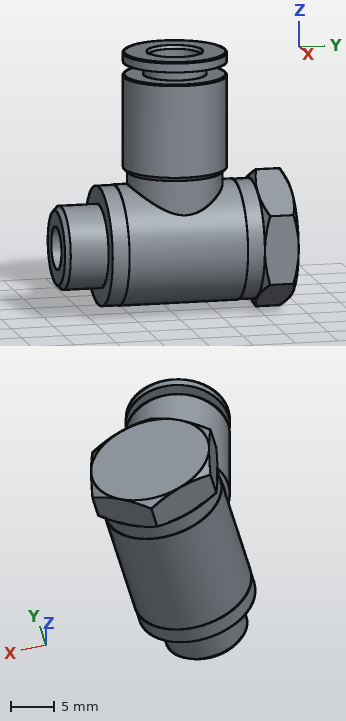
import cadquery as cq
import math

hex_flats = 14.0
hex_length = 4.0
hex_chamfer_angle = math.radians(30)
body_dia = 14.0
body_length = 14.0
washer_dia = 13.9
washer_length = 2.0
spigot_dia = 9.72
spigot_length = 5.0
spigot_chamfer = 0.55

total_height = 30.58
boss_dia = 11.0
sleeve_dia = 12.0
collar_neck_dia = 7.3
collar_flange = 1.2
collar_height = 2.65
sleeve_length = 11.45
rim_chamfer = 0.15

bore_dia = 5.0
socket_dia = 6.0
mouth_chamfer_width = 0.25
mouth_chamfer_depth = 0.4

hex_corner_radius = hex_flats / math.sqrt(3)
outlet_top = total_height - hex_corner_radius
sleeve_top = outlet_top - collar_height
sleeve_bottom = sleeve_top - sleeve_length
hex_front = body_length / 2 + washer_length
hex_back = hex_front + hex_length
spigot_root = -hex_front
spigot_tip = spigot_root - spigot_length


def rod_y(diameter, start, end):
    """Round bar on the Y axis from start to end, with start below end."""
    return cq.Workplane("XZ", origin=(0, end, 0)).circle(diameter / 2).extrude(end - start)


def rod_z(diameter, start, end):
    """Round bar on the Z axis from start to end."""
    return cq.Workplane("XY", origin=(0, 0, start)).circle(diameter / 2).extrude(end - start)


def hex_head():
    """Hexagon with corners up and down, its corners turned off at both ends."""
    corners = [
        (
            hex_corner_radius * math.sin(i * math.pi / 3),
            hex_corner_radius * math.cos(i * math.pi / 3),
        )
        for i in range(6)
    ]
    prism = cq.Workplane("XZ", origin=(0, hex_back, 0)).polyline(corners).close().extrude(hex_length)
    face_radius = hex_flats / 2
    chamfer_length = (hex_corner_radius - face_radius) * math.tan(hex_chamfer_angle)
    turned_blank = (
        cq.Workplane("XY")
        .moveTo(0, hex_front)
        .lineTo(face_radius, hex_front)
        .lineTo(hex_corner_radius, hex_front + chamfer_length)
        .lineTo(hex_corner_radius, hex_back - chamfer_length)
        .lineTo(face_radius, hex_back)
        .lineTo(0, hex_back)
        .close()
        .revolve(360, (0, 0, 0), (0, 1, 0))
    )
    return prism.intersect(turned_blank)


def banjo():
    """Hex head, ring between two washers, and plain spigot."""
    spigot = rod_y(spigot_dia, spigot_tip, spigot_root).faces("<Y").chamfer(spigot_chamfer)
    washers = rod_y(washer_dia, spigot_root, hex_front)
    ring = rod_y(body_dia, -body_length / 2, body_length / 2)
    return washers.union(ring).union(hex_head()).union(spigot)


def outlet():
    """Boss, sleeve and release collar stacked above the banjo."""
    boss = rod_z(boss_dia, 0, sleeve_bottom)
    sleeve = (
        rod_z(sleeve_dia, sleeve_bottom, sleeve_top)
        .faces("<Z")
        .chamfer((sleeve_dia - boss_dia) / 2)
        .faces(">Z")
        .chamfer(rim_chamfer)
    )
    neck = rod_z(collar_neck_dia, sleeve_top, outlet_top)
    flange = rod_z(sleeve_dia, outlet_top - collar_flange, outlet_top).faces(">Z").chamfer(rim_chamfer)
    return boss.union(sleeve).union(neck).union(flange)


def passages():
    """Elbow bore with a spherical corner, tube socket and its flared mouth."""
    corner = cq.Workplane("XY").sphere(bore_dia / 2)
    inlet = rod_y(bore_dia, spigot_tip, 0)
    riser = rod_z(bore_dia, 0, sleeve_bottom)
    socket = rod_z(socket_dia, sleeve_bottom, outlet_top)
    mouth = (
        cq.Workplane("XY", origin=(0, 0, outlet_top))
        .circle(socket_dia / 2 + mouth_chamfer_width)
        .workplane(offset=-mouth_chamfer_depth)
        .circle(socket_dia / 2)
        .loft()
    )
    return corner.union(inlet).union(riser).union(socket).union(mouth)


result = banjo().union(outlet()).cut(passages())